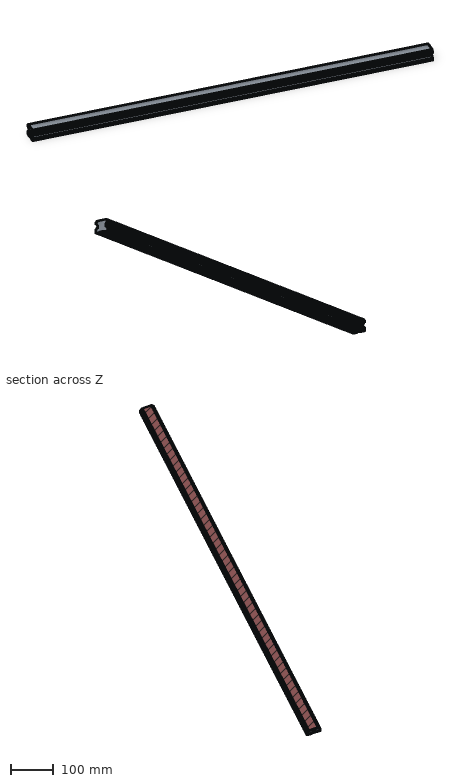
import cadquery as cq

length = 1000.0
width = 34.0
height = 29.0

top_width = 27.0
top_chamfer = 0.6
head_side_top = 25.0
head_side_bottom = 22.5
track_radius = 3.0

waist_width = 24.0
waist_top = 16.5
waist_bottom = 12.0

shoulder_width = 26.0
base_side_top = 7.2
base_chamfer = 1.0

relief_width = 11.0
relief_depth = 1.0

slot_width = 10.0
slot_height = 4.0
slot_center_height = 14.0
slot_depth = 1.0


def make_rail():
    """Extrude one half of the rail profile along +Y, then mirror it."""
    half_width = width / 2
    half_waist = waist_width / 2
    half_top = top_width / 2
    half_shoulder = shoulder_width / 2
    half_profile = (
        cq.Workplane("XZ")
        .moveTo(0, relief_depth)
        .lineTo(relief_width / 2, relief_depth)
        .lineTo(relief_width / 2, 0)
        .lineTo(half_width - base_chamfer, 0)
        .lineTo(half_width, base_chamfer)
        .lineTo(half_width, base_side_top)
        .lineTo(half_shoulder, waist_bottom)
        .lineTo(half_waist, waist_bottom)
        .lineTo(half_waist, waist_top)
        .lineTo(half_width - track_radius, head_side_bottom - track_radius)
        .radiusArc((half_width, head_side_bottom), track_radius)
        .lineTo(half_width, head_side_top)
        .radiusArc((half_top + top_chamfer, height - top_chamfer), track_radius)
        .lineTo(half_top, height)
        .lineTo(0, height)
        .close()
    )
    half_rail = half_profile.extrude(-length)
    return half_rail.union(half_rail.mirror("YZ")).clean()


def make_end_slot():
    """Rectangular slot that sinks into the end face at y = 0."""
    plane = cq.Workplane("XZ").center(0, slot_center_height)
    return plane.rect(slot_width, slot_height).extrude(-slot_depth)


result = make_rail().cut(make_end_slot())